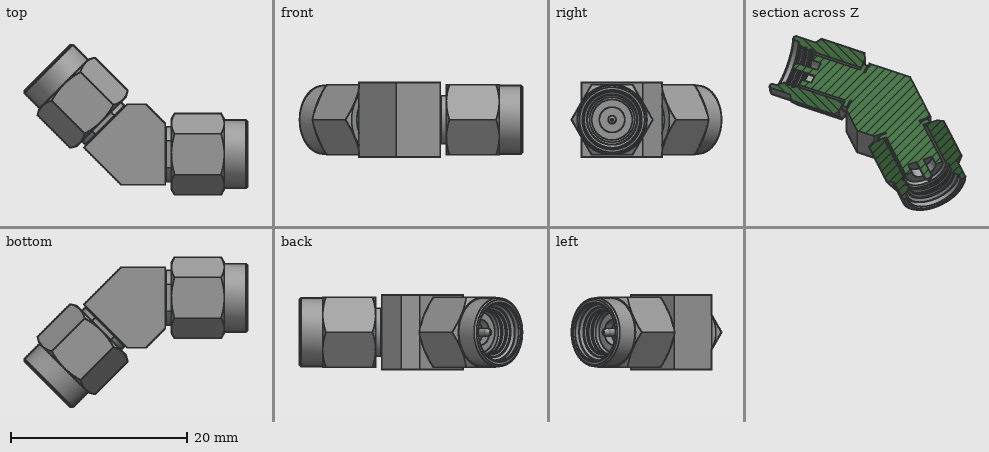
import cadquery as cq
import math

BEND_ANGLE = 45.0
BLOCK_HEIGHT = 8.5
FACE_WIDTH = 7.0
RIGHT_FACE_DISTANCE = 3.55
LEFT_FACE_DISTANCE = 4.55

NECK_RADIUS = 2.1
NECK_LENGTH = 0.1
COLLAR_RADIUS = 3.15
COLLAR_HEIGHT = 5.5

NUT_START = 0.68
NUT_END = 9.35
HEX_LENGTH = 6.03
HEX_ACROSS_FLATS = 8.0
HEX_CHAMFER_RADIUS = 3.98
HEX_CHAMFER_ANGLE = 30.0
SLEEVE_RADIUS = 3.9
RIM_CHAMFER = 0.2

MOUTH_RADIUS = 3.4
MOUTH_BORE_RADIUS = 3.25
MOUTH_BORE_DEPTH = 0.75
LEAD_IN_START_RADIUS = 3.16
LEAD_IN_END_RADIUS = 2.85
TAPER_ANGLE = 45.0

THREAD_ROOT_RADIUS = 2.8
THREAD_CREST_RADIUS = 2.55
THREAD_START_DEPTH = 1.2
THREAD_PITCH = 0.7
THREAD_CREST_WIDTH = 0.25
THREAD_FLANK_ANGLE = 60.0
THREAD_GROOVES = 2

TUBE_RADIUS = 2.3
TUBE_DEPTH = 3.06
SOCKET_RADIUS = 1.45
SOCKET_FLOOR_DEPTH = 4.2
PIN_RADIUS = 0.45
PIN_TIP_RADIUS = 0.13
PIN_TIP_DEPTH = 1.45
PIN_TIP_LENGTH = 0.58

CONNECTORS = [
    (0.0, RIGHT_FACE_DISTANCE),
    (180.0 - BEND_ANGLE, LEFT_FACE_DISTANCE),
]


def place(part, direction, face_distance):
    """Move a part built along +X from x = 0 onto its block face."""
    return part.translate((face_distance, 0, 0)).rotate((0, 0, 0), (0, 0, 1), direction)


def revolve_about_x(profile):
    return profile.close().revolve(360, (0, 0, 0), (1, 0, 0))


def cylinder_along_x(radius, start, end):
    return cq.Workplane("YZ").workplane(offset=start).circle(radius).extrude(end - start)


def make_block():
    half = FACE_WIDTH / 2
    bend = math.radians(BEND_ANGLE)
    elbow_x = -half * math.tan(bend / 2)

    axis_x, axis_y = -math.cos(bend), math.sin(bend)
    across_x, across_y = math.sin(bend), math.cos(bend)
    left_x, left_y = LEFT_FACE_DISTANCE * axis_x, LEFT_FACE_DISTANCE * axis_y
    left_inner = (left_x + half * across_x, left_y + half * across_y)
    left_outer = (left_x - half * across_x, left_y - half * across_y)

    top_y = left_inner[1]
    cut_x = RIGHT_FACE_DISTANCE - (top_y - half) / math.tan(bend)
    outline = [
        (elbow_x, -half),
        (RIGHT_FACE_DISTANCE, -half),
        (RIGHT_FACE_DISTANCE, half),
        (cut_x, top_y),
        left_inner,
        left_outer,
    ]
    return cq.Workplane("XY").polyline(outline).close().extrude(BLOCK_HEIGHT / 2, both=True)


def make_collar():
    length = NUT_START - NECK_LENGTH
    flats = cq.Workplane("XY").box(length, 2 * COLLAR_RADIUS, COLLAR_HEIGHT)
    flats = flats.translate((NECK_LENGTH + length / 2, 0, 0))
    collar = cylinder_along_x(COLLAR_RADIUS, NECK_LENGTH, NUT_START).intersect(flats)
    return collar.union(cylinder_along_x(NECK_RADIUS, 0, NECK_LENGTH))


def make_tube():
    tube_end = NUT_END - TUBE_DEPTH
    socket_floor = NUT_END - SOCKET_FLOOR_DEPTH
    tube = cylinder_along_x(TUBE_RADIUS, NUT_START, tube_end)
    return tube.cut(cylinder_along_x(SOCKET_RADIUS, socket_floor, tube_end))


def make_pin():
    base = NUT_END - SOCKET_FLOOR_DEPTH
    tip = NUT_END - PIN_TIP_DEPTH
    profile = (
        cq.Workplane("XY")
        .moveTo(base, 0)
        .lineTo(base, PIN_RADIUS)
        .lineTo(tip - PIN_TIP_LENGTH, PIN_RADIUS)
        .tangentArcPoint((tip, PIN_TIP_RADIUS), relative=False)
        .lineTo(tip, 0)
    )
    return revolve_about_x(profile)


def make_body():
    body = make_block()
    for direction, face_distance in CONNECTORS:
        for part in (make_collar(), make_tube(), make_pin()):
            body = body.union(place(part, direction, face_distance))
    return body


def make_hexagon():
    """Hexagon with flats facing +Z and -Z and both ends chamfered by a cone."""
    corner_radius = HEX_ACROSS_FLATS / 2 / math.cos(math.pi / 6)
    chamfer_drop = corner_radius - HEX_CHAMFER_RADIUS
    chamfer_length = chamfer_drop * math.tan(math.radians(HEX_CHAMFER_ANGLE))
    hex_end = NUT_START + HEX_LENGTH
    hexagon = (
        cq.Workplane("YZ")
        .workplane(offset=NUT_START)
        .polygon(6, 2 * corner_radius)
        .extrude(HEX_LENGTH)
    )
    envelope = (
        cq.Workplane("XY")
        .moveTo(NUT_START, 0)
        .lineTo(NUT_START, HEX_CHAMFER_RADIUS)
        .lineTo(NUT_START + chamfer_length, corner_radius)
        .lineTo(hex_end - chamfer_length, corner_radius)
        .lineTo(hex_end, HEX_CHAMFER_RADIUS)
        .lineTo(hex_end, 0)
    )
    return hexagon.intersect(revolve_about_x(envelope))


def make_bore():
    """Stepped and grooved opening of the nut, open at both ends."""
    taper = math.tan(math.radians(TAPER_ANGLE))
    flank_length = (THREAD_ROOT_RADIUS - THREAD_CREST_RADIUS) / math.tan(math.radians(THREAD_FLANK_ANGLE))
    mouth_taper_depth = (MOUTH_RADIUS - MOUTH_BORE_RADIUS) / taper
    lead_in_end = MOUTH_BORE_DEPTH + (LEAD_IN_START_RADIUS - LEAD_IN_END_RADIUS) / taper

    points = [
        (0, 0),
        (0, MOUTH_RADIUS),
        (mouth_taper_depth, MOUTH_BORE_RADIUS),
        (MOUTH_BORE_DEPTH, MOUTH_BORE_RADIUS),
        (MOUTH_BORE_DEPTH, LEAD_IN_START_RADIUS),
        (lead_in_end, LEAD_IN_END_RADIUS),
        (lead_in_end, THREAD_ROOT_RADIUS),
        (THREAD_START_DEPTH, THREAD_ROOT_RADIUS),
        (THREAD_START_DEPTH + flank_length, THREAD_CREST_RADIUS),
    ]
    for groove in range(THREAD_GROOVES):
        crest_start = THREAD_START_DEPTH + flank_length + groove * THREAD_PITCH
        groove_start = crest_start + THREAD_CREST_WIDTH
        groove_end = crest_start + THREAD_PITCH
        points += [
            (groove_start, THREAD_CREST_RADIUS),
            (groove_start + flank_length, THREAD_ROOT_RADIUS),
            (groove_end - flank_length, THREAD_ROOT_RADIUS),
            (groove_end, THREAD_CREST_RADIUS),
        ]
    back_depth = NUT_END - NUT_START
    points += [(back_depth, THREAD_CREST_RADIUS), (back_depth, 0)]

    profile = cq.Workplane("XY").polyline([(NUT_END - depth, radius) for depth, radius in points])
    return revolve_about_x(profile)


def make_nut():
    sleeve = cylinder_along_x(SLEEVE_RADIUS, NUT_START, NUT_END).faces(">X").chamfer(RIM_CHAMFER)
    return make_hexagon().union(sleeve).cut(make_bore())


body = make_body()
nuts = [place(make_nut(), direction, face_distance) for direction, face_distance in CONNECTORS]

result = cq.Compound.makeCompound([body.val(), *[nut.val() for nut in nuts]])